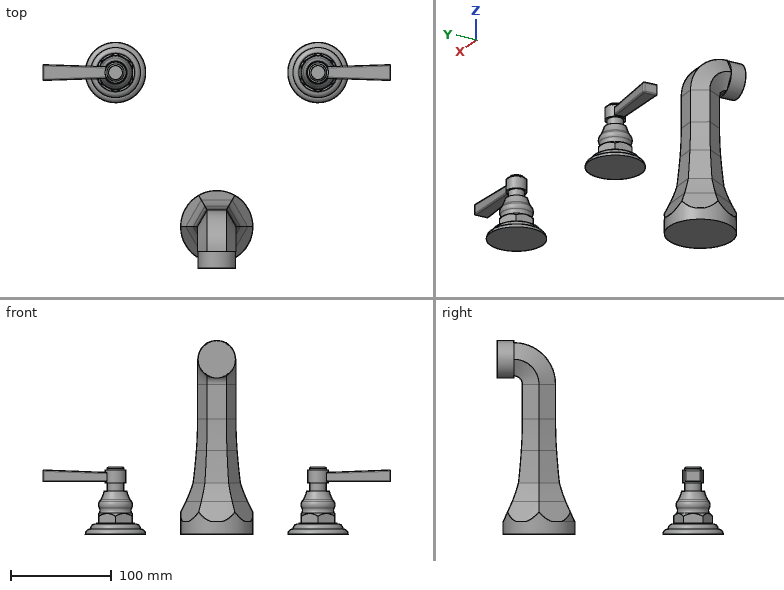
import cadquery as cq
import math


HANDLE_X = 100.5
HANDLE_Y = 152.7
LEVER_TIP_X = 172.5

SIDES = 6
SIDE_ANGLE = 360 / SIDES
BASE_RADIUS = 36.0
BASE_TOP_Z = 12.5
FLARE_FOOT_APOTHEM = 35.5
LOW_FLARE_APOTHEM = 26.5
LOW_FLARE_Z = 32.5
MID_FLARE_APOTHEM = 20.5
MID_FLARE_Z = 51.0
FLARE_SAG = 0.5
HIGH_FLARE_APOTHEM = 17.5
HIGH_FLARE_Z = 83.0
NECK_APOTHEM = 16.5
NECK_Z = 114.0
BEND_RADIUS = 24.8
OUTLET_RADIUS = 18.5
OUTLET_Y = -41.5
SPOUT_HEIGHT = 192.0
OUTLET_Z = SPOUT_HEIGHT - OUTLET_RADIUS
BEND_Z = OUTLET_Z - BEND_RADIUS

FLANGE_RADIUS = 30.0
FLANGE_ROUND = 5.0
FLANGE_STEP_RADIUS = FLANGE_RADIUS - FLANGE_ROUND
FLANGE_TOP_RADIUS = FLANGE_STEP_RADIUS - FLANGE_ROUND
FLANGE_TOP_Z = 2 * FLANGE_ROUND
SEAT_RADIUS = 19.0

NUT_BOTTOM_Z = 11.5
NUT_TOP_Z = 21.0
NUT_ACROSS_FLATS = 33.5
NUT_ACROSS_CORNERS = NUT_ACROSS_FLATS / math.cos(math.pi / SIDES)
NUT_CHAMFER_ANGLE = 45
NUT_TOP_RADIUS = 16.2

COVE_RADIUS = 15.5
BEAD_BOTTOM_Z = 26.2
BEAD_BOTTOM_RADIUS = 16.2
BEAD_RADIUS = 17.0
BEAD_MID_Z = 29.3
BEAD_TOP_Z = 32.5
BEAD_TOP_RADIUS = 16.0
BELL_BOTTOM_Z = 34.5
BELL_BOTTOM_RADIUS = 14.5
BELL_TOP_Z = 42.8
BELL_TOP_RADIUS = 11.5
BELL_SAG = 0.5
STEM_RADIUS = 8.3

HEAD_RADIUS = 10.5
HEAD_BOTTOM_Z = 51.0
HEAD_TOP_Z = 63.8
CAP_RADIUS = 8.5
CAP_TOP_Z = 67.0
CAP_CHAMFER = 1.7
LEVER_LENGTH = LEVER_TIP_X - HANDLE_X
LEVER_BOTTOM_Z = 52.0
LEVER_TIP_TOP_Z = 63.8
LEVER_ROOT_TOP_Z = 61.0
LEVER_TIP_WIDTH = 16.0
LEVER_ROOT_WIDTH = 11.0
LEVER_EDGE_ROUND = 1.5


def flared_column():
    """Hexagonal column whose flats share one flared profile, trimmed to the round base."""
    flare_mid = (
        (LOW_FLARE_APOTHEM + MID_FLARE_APOTHEM) / 2 - FLARE_SAG,
        (LOW_FLARE_Z + MID_FLARE_Z) / 2,
    )
    flat_side = (
        cq.Workplane("YZ")
        .moveTo(-2 * BASE_RADIUS, BEND_Z)
        .lineTo(NECK_APOTHEM, BEND_Z)
        .lineTo(NECK_APOTHEM, NECK_Z)
        .tangentArcPoint((HIGH_FLARE_APOTHEM, HIGH_FLARE_Z), relative=False)
        .tangentArcPoint((MID_FLARE_APOTHEM, MID_FLARE_Z), relative=False)
        .threePointArc(flare_mid, (LOW_FLARE_APOTHEM, LOW_FLARE_Z))
        .tangentArcPoint((FLARE_FOOT_APOTHEM, BASE_TOP_Z), relative=False)
        .lineTo(-2 * BASE_RADIUS, BASE_TOP_Z)
        .close()
        .extrude(2 * BASE_RADIUS, both=True)
    )
    column = cq.Workplane("XY").circle(BASE_RADIUS).extrude(BEND_Z)
    base = cq.Workplane("XY").circle(BASE_RADIUS).extrude(BASE_TOP_Z)
    for side in range(SIDES):
        column = column.intersect(flat_side.rotate((0, 0, 0), (0, 0, 1), side * SIDE_ANGLE))
    return base.union(column)


def circle_in_arcs(plane, radius):
    """Circle split into one arc per column side, so it pairs with the hexagon."""
    def point(angle):
        return (radius * math.cos(math.radians(angle)), radius * math.sin(math.radians(angle)))

    outline = plane.moveTo(*point(0))
    for side in range(SIDES):
        start = side * SIDE_ANGLE
        outline = outline.threePointArc(point(start + SIDE_ANGLE / 2), point(start + SIDE_ANGLE))
    return outline.close()


def spout_bend():
    """Quarter bend that turns the hexagonal neck into the round outlet."""
    path = (
        cq.Workplane("YZ")
        .moveTo(0, BEND_Z)
        .radiusArc((-BEND_RADIUS, OUTLET_Z), -BEND_RADIUS)
    )
    neck_corners = 2 * NECK_APOTHEM / math.cos(math.pi / SIDES)
    neck = cq.Workplane("XY", origin=(0, 0, BEND_Z)).polygon(SIDES, neck_corners)
    end = circle_in_arcs(cq.Workplane("XZ", origin=(0, -BEND_RADIUS, OUTLET_Z)), OUTLET_RADIUS)
    return neck.add(end).sweep(path, multisection=True)


def make_spout():
    """Spout: flared column, quarter bend and round outlet along -Y."""
    outlet = (
        circle_in_arcs(cq.Workplane("XZ", origin=(0, -BEND_RADIUS, OUTLET_Z)), OUTLET_RADIUS)
        .extrude(-OUTLET_Y - BEND_RADIUS)
    )
    return flared_column().union(spout_bend()).union(outlet)


def handle_flange():
    """Two stacked quarter rounds with a low seat for the nut."""
    diagonal = FLANGE_ROUND * math.sqrt(0.5)
    return (
        cq.Workplane("XZ")
        .lineTo(FLANGE_RADIUS, 0)
        .threePointArc(
            (FLANGE_STEP_RADIUS + diagonal, diagonal),
            (FLANGE_STEP_RADIUS, FLANGE_ROUND),
        )
        .threePointArc(
            (FLANGE_TOP_RADIUS + diagonal, FLANGE_ROUND + diagonal),
            (FLANGE_TOP_RADIUS, FLANGE_TOP_Z),
        )
        .lineTo(SEAT_RADIUS, FLANGE_TOP_Z)
        .lineTo(SEAT_RADIUS, NUT_BOTTOM_Z)
        .lineTo(0, NUT_BOTTOM_Z)
        .close()
        .revolve(360, (0, 0, 0), (0, 1, 0))
    )


def handle_nut():
    """Hexagonal nut with corners on the Y axis and a conical top chamfer."""
    height = NUT_TOP_Z - NUT_BOTTOM_Z
    hexagon = (
        cq.Workplane("XY", origin=(0, 0, NUT_BOTTOM_Z))
        .transformed(rotate=(0, 0, 90))
        .polygon(SIDES, NUT_ACROSS_CORNERS)
        .extrude(height)
    )
    chamfer_cone = (
        cq.Workplane("XY", origin=(0, 0, NUT_BOTTOM_Z))
        .circle(NUT_TOP_RADIUS + height)
        .extrude(height, taper=NUT_CHAMFER_ANGLE)
    )
    return hexagon.intersect(chamfer_cone)


def handle_stem():
    """Turned stem: cove, bead, bell, neck, head and chamfered cap."""
    cove_mid = (COVE_RADIUS, (NUT_TOP_Z + BEAD_BOTTOM_Z) / 2)
    bell_mid = ((BELL_BOTTOM_RADIUS + BELL_TOP_RADIUS) / 2 - BELL_SAG, (BELL_BOTTOM_Z + BELL_TOP_Z) / 2)
    return (
        cq.Workplane("XZ")
        .moveTo(0, NUT_TOP_Z)
        .lineTo(NUT_TOP_RADIUS, NUT_TOP_Z)
        .threePointArc(cove_mid, (BEAD_BOTTOM_RADIUS, BEAD_BOTTOM_Z))
        .threePointArc((BEAD_RADIUS, BEAD_MID_Z), (BEAD_TOP_RADIUS, BEAD_TOP_Z))
        .lineTo(BELL_BOTTOM_RADIUS, BELL_BOTTOM_Z)
        .threePointArc(bell_mid, (BELL_TOP_RADIUS, BELL_TOP_Z))
        .lineTo(STEM_RADIUS, BELL_TOP_Z)
        .lineTo(STEM_RADIUS, HEAD_BOTTOM_Z)
        .lineTo(HEAD_RADIUS, HEAD_BOTTOM_Z)
        .lineTo(HEAD_RADIUS, HEAD_TOP_Z)
        .lineTo(CAP_RADIUS, HEAD_TOP_Z)
        .lineTo(CAP_RADIUS, CAP_TOP_Z - CAP_CHAMFER)
        .lineTo(CAP_RADIUS - CAP_CHAMFER, CAP_TOP_Z)
        .lineTo(0, CAP_TOP_Z)
        .close()
        .revolve(360, (0, 0, 0), (0, 1, 0))
    )


def handle_lever():
    """Lever along +X that widens and deepens toward its tip, with rounded edges."""
    plan = (
        cq.Workplane("XY", origin=(0, 0, LEVER_BOTTOM_Z))
        .moveTo(0, -LEVER_ROOT_WIDTH / 2)
        .lineTo(LEVER_LENGTH, -LEVER_TIP_WIDTH / 2)
        .lineTo(LEVER_LENGTH, LEVER_TIP_WIDTH / 2)
        .lineTo(0, LEVER_ROOT_WIDTH / 2)
        .close()
        .extrude(LEVER_TIP_TOP_Z - LEVER_BOTTOM_Z)
    )
    elevation = (
        cq.Workplane("XZ")
        .moveTo(0, LEVER_BOTTOM_Z)
        .lineTo(LEVER_LENGTH, LEVER_BOTTOM_Z)
        .lineTo(LEVER_LENGTH, LEVER_TIP_TOP_Z)
        .lineTo(0, LEVER_ROOT_TOP_Z)
        .close()
        .extrude(LEVER_TIP_WIDTH, both=True)
    )
    return plan.intersect(elevation).edges("not <X").fillet(LEVER_EDGE_ROUND)


def make_handle():
    """Handle about the Z axis with its lever along +X."""
    return handle_flange().union(handle_nut()).union(handle_stem()).union(handle_lever())


spout = make_spout()
handles = [
    make_handle()
    .rotate((0, 0, 0), (0, 0, 1), turn)
    .translate((x, HANDLE_Y, 0))
    for x, turn in ((-HANDLE_X, 180), (HANDLE_X, 0))
]

result = cq.Compound.makeCompound([spout.val(), *[handle.val() for handle in handles]])